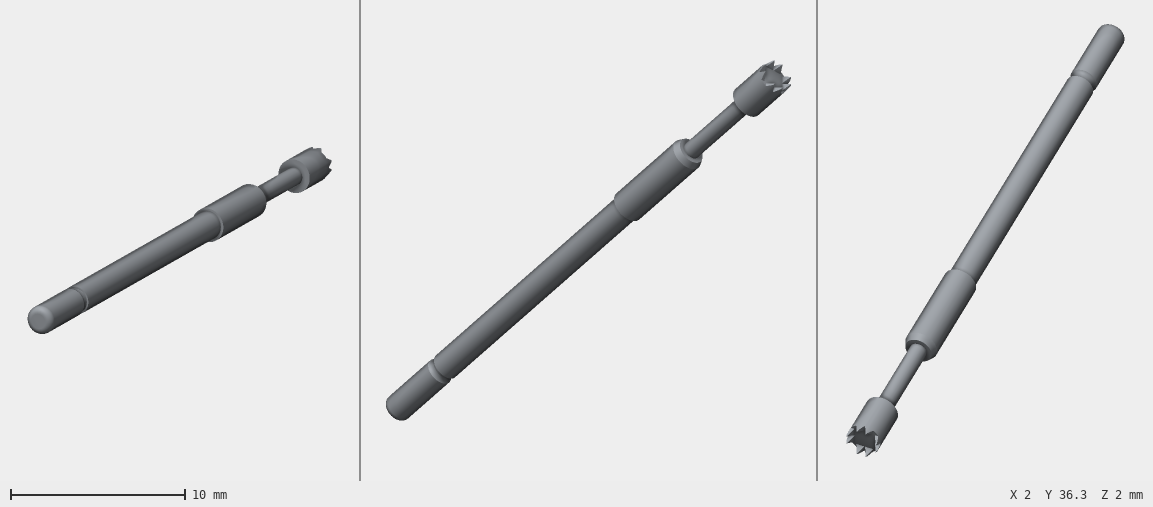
import cadquery as cq
import math



total_length = 36.3
tip_y = total_length / 2

head_diameter = 2.0
head_length = 3.0
shaft_diameter = 1.05

tooth_height = 0.5
tooth_base = 0.5
tooth_pair_spacing = 0.56
tooth_tip_offset = 0.9
tooth_tip_width = 0.02
tooth_pairs = 4

collar_diameter = 2.0
collar_start = 8.25
collar_length = 6.0
collar_chamfer_length = 0.4
collar_chamfer_height = 0.18

barrel_diameter = 1.67
rear_fillet = 0.38

ring_start = 31.5
ring_front_length = 0.22
ring_rear_length = 0.33
ring_step_depth = 0.1
ring_depth = 0.15


def axial_cylinder(diameter, start, end):
    """Cylinder on the probe axis between two distances from the tip."""
    plane = cq.Workplane("XZ", origin=(0, tip_y - start, 0))
    return plane.circle(diameter / 2).extrude(end - start)


def make_plunger():
    head = axial_cylinder(head_diameter, tooth_height, head_length)
    shaft = axial_cylinder(shaft_diameter, head_length, collar_start)
    return head.union(shaft)


def pointed_tooth(x, z):
    """Square pyramid with its sides along X and Z and its tip above (x, z)."""
    base_plane = cq.Workplane("XZ", origin=(x, tip_y - tooth_height, z))
    base = base_plane.rect(tooth_base, tooth_base)
    tip_plane = base.workplane(offset=-tooth_height)
    return tip_plane.rect(tooth_tip_width, tooth_tip_width).loft()


def make_crown():
    half_spacing = tooth_pair_spacing / 2
    left_tooth = pointed_tooth(-half_spacing, tooth_tip_offset)
    right_tooth = pointed_tooth(half_spacing, tooth_tip_offset)
    pair = left_tooth.union(right_tooth)
    crown = pair
    pair_angle = 360 / tooth_pairs
    for index in range(1, tooth_pairs):
        crown = crown.union(pair.rotate((0, 0, 0), (0, 1, 0), index * pair_angle))
    return crown.intersect(axial_cylinder(head_diameter, 0, tooth_height))


def make_sleeve():
    """Collar and barrel revolved as one profile, with the ring groove in the barrel."""
    collar_radius = collar_diameter / 2
    barrel_radius = barrel_diameter / 2
    collar_front_y = tip_y - collar_start
    collar_rear_y = collar_front_y - collar_length
    ring_front_y = tip_y - ring_start
    ring_bottom_y = ring_front_y - ring_front_length
    ring_rear_y = ring_bottom_y - ring_rear_length
    rear_y = tip_y - total_length
    ring_arc_radius = (ring_rear_length**2 + ring_depth**2) / (2 * ring_depth)
    fillet_reach = rear_fillet * math.sqrt(0.5)

    profile = (
        cq.Workplane("XY")
        .moveTo(0, collar_front_y)
        .lineTo(collar_radius - collar_chamfer_height, collar_front_y)
        .lineTo(collar_radius, collar_front_y - collar_chamfer_length)
        .lineTo(collar_radius, collar_rear_y)
        .lineTo(barrel_radius, collar_rear_y)
        .lineTo(barrel_radius, ring_front_y)
        .lineTo(barrel_radius - ring_step_depth, ring_front_y)
        .lineTo(barrel_radius - ring_depth, ring_bottom_y)
        .radiusArc((barrel_radius, ring_rear_y), -ring_arc_radius)
        .lineTo(barrel_radius, rear_y + rear_fillet)
        .threePointArc(
            (barrel_radius - rear_fillet + fillet_reach, rear_y + rear_fillet - fillet_reach),
            (barrel_radius - rear_fillet, rear_y),
        )
        .lineTo(0, rear_y)
        .close()
    )
    return profile.revolve(360, (0, 0, 0), (0, 1, 0))


plunger = make_plunger().union(make_crown())
result = plunger.union(make_sleeve())